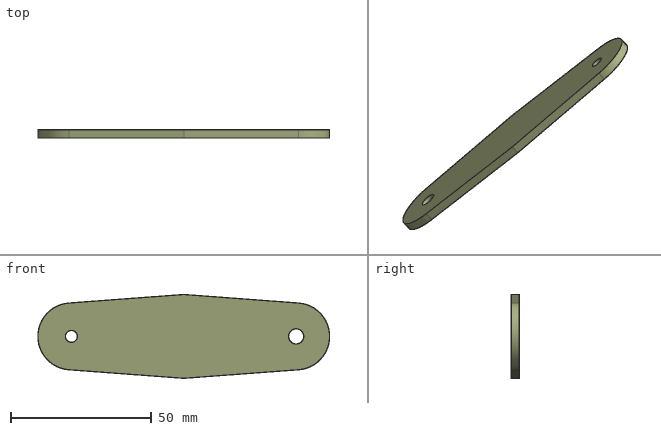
import cadquery as cq
import math

length = 104.0
height = 30.0
thickness = 3.0
end_radius = 12.0
left_hole_diameter = 4.2
right_hole_diameter = 5.3

peak_z = height / 2
end_center = length / 2 - end_radius

peak_to_center = math.hypot(end_center, peak_z)
edge_angle = math.atan2(peak_z, end_center) - math.asin(end_radius / peak_to_center)
end_x = end_center + end_radius * math.sin(edge_angle)
end_z = end_radius * math.cos(edge_angle)


def make_plate():
    """Plate with round ends and long sides that peak in the middle."""
    return (
        cq.Workplane("XZ", origin=(0, thickness / 2, 0))
        .moveTo(-end_x, end_z)
        .lineTo(0, peak_z)
        .lineTo(end_x, end_z)
        .threePointArc((length / 2, 0), (end_x, -end_z))
        .lineTo(0, -peak_z)
        .lineTo(-end_x, -end_z)
        .threePointArc((-length / 2, 0), (-end_x, end_z))
        .close()
        .extrude(thickness)
    )


def make_hole(x, diameter):
    """Cylinder that cuts a through hole along Y."""
    return cq.Workplane("XZ", origin=(x, thickness / 2, 0)).circle(diameter / 2).extrude(thickness)


result = (
    make_plate()
    .cut(make_hole(-end_center, left_hole_diameter))
    .cut(make_hole(end_center, right_hole_diameter))
)